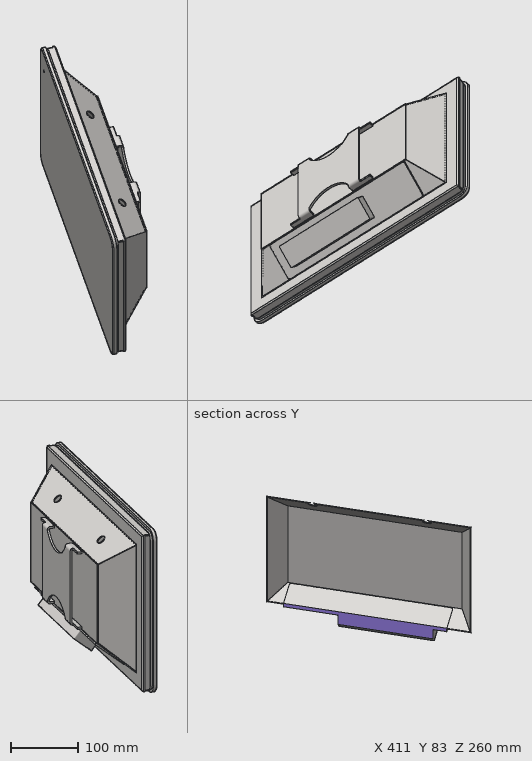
import cadquery as cq
import math

width = 411.0
height = 260.0
depth = 83.0

bezel_depth = 6.5
bezel_corner = 15.5
bezel_chamfer = 1.5
pane_inset = 3.0
pane_recess = 0.2
lip_inset = 4.0
lip_back = 10.0

tray_inset = 5.5
tray_back = 22.5
tray_chamfer = 2.0
side_step = 0.5
side_step_back = 17.5
relief_width = 2.0
relief_height = 1.5

housing_inset = 27.5
cover_inset = 66.5
taper_back = 70.0
cover_thickness = 1.2
housing_wall = 1.5
cover_back = taper_back + cover_thickness
taper_run = taper_back - tray_back
taper_rise = cover_inset - housing_inset
slope_length = math.hypot(taper_run, taper_rise)

wall_hole_diameter = 13.5
wall_hole_x = 90.5
wall_hole_y = 46.5

pinhole_diameter = 3.3
pinhole_depth = 1.5
pinhole_from_side = 19.7
pinhole_from_top = 40.5

gland_left = -135.5
gland_right = 123.5
gland_margin = 1.0
gland_thickness = 3.3
gland_corner = 3.3
block_left = -49.5
block_right = 102.5
block_length = 37.0
block_height = 17.3
block_corner = 1.5

handle_height = 123.5
handle_width = 116.0
handle_thickness = 3.3
handle_bend = 5.0
foot_width = 153.0
window_width = 75.0
window_arc_depth = 20.5


def upright_block(size_x, size_z, y_start, y_end):
    """Box centred on the Y axis, spanning y_start to y_end."""
    length = y_end - y_start
    return cq.Workplane("XY").box(size_x, length, size_z).translate((0, y_start + length / 2, 0))


def make_bezel():
    bezel = upright_block(width, height, 0, bezel_depth).edges("|Y").fillet(bezel_corner)
    bezel = bezel.faces("<Y").edges().chamfer(bezel_chamfer)
    pane = upright_block(width - 2 * pane_inset, height - 2 * pane_inset, 0, pane_recess)
    return bezel.cut(pane.edges("|Y").fillet(bezel_corner - pane_inset))


def make_lip():
    lip = upright_block(width - 2 * lip_inset, height - 2 * lip_inset, bezel_depth, lip_back)
    return lip.edges("|Y").fillet(bezel_corner - lip_inset)


def make_tray():
    tray_width = width - 2 * tray_inset
    tray_height = height - 2 * tray_inset
    tray = upright_block(tray_width, tray_height, lip_back, tray_back)
    tray = tray.faces(">Y").edges().chamfer(tray_chamfer)
    step_height = tray_height - 2 * relief_height
    for side in (-1, 1):
        step = upright_block(2 * side_step, step_height, lip_back, side_step_back)
        tray = tray.cut(step.translate((side * tray_width / 2, 0, 0)))
        for end in (-1, 1):
            relief = upright_block(2 * relief_width, 2 * relief_height, lip_back, side_step_back)
            tray = tray.cut(relief.translate((side * tray_width / 2, 0, end * tray_height / 2)))
    return tray


def make_housing():
    cover_width = width - 2 * cover_inset
    cover_height = height - 2 * cover_inset
    taper = (
        cq.Workplane("XZ", origin=(0, tray_back, 0))
        .rect(width - 2 * housing_inset, height - 2 * housing_inset)
        .workplane(offset=-taper_run)
        .rect(cover_width, cover_height)
        .loft(ruled=True)
    )
    housing = taper.faces("<Y").shell(-housing_wall)
    return housing.union(upright_block(cover_width, cover_height, taper_back, cover_back))


def make_wall_holes():
    """Cutters normal to the upper sloped wall."""
    hole_z = height / 2 - housing_inset - (wall_hole_y - tray_back) * taper_rise / taper_run
    normal = cq.Vector(0, taper_rise, taper_run)
    cutters = cq.Workplane("XY")
    for x in (-wall_hole_x, wall_hole_x):
        plane = cq.Plane(origin=(x, wall_hole_y, hole_z), xDir=(1, 0, 0), normal=normal)
        hole = cq.Workplane(plane).circle(wall_hole_diameter / 2)
        cutters = cutters.add(hole.extrude(2 * housing_wall, both=True))
    return cutters.combine()


def make_connector():
    """Gland plate with a connector block, on the lower sloped wall."""
    middle_y = (tray_back + taper_back) / 2
    middle_z = -(height - housing_inset - cover_inset) / 2
    wall = cq.Workplane(
        cq.Plane(origin=(0, middle_y, middle_z), xDir=(1, 0, 0), normal=(0, taper_rise, -taper_run))
    )
    plate = (
        wall.center((gland_left + gland_right) / 2, 0)
        .rect(gland_right - gland_left, slope_length - 2 * gland_margin)
        .extrude(gland_thickness)
    )
    block = (
        wall.center((block_left + block_right) / 2, 0)
        .rect(block_right - block_left, block_length)
        .extrude(gland_thickness + block_height)
    )
    along_normal = cq.selectors.ParallelDirSelector(cq.Vector(0, taper_rise, -taper_run))
    plate = plate.edges(along_normal).fillet(gland_corner)
    return plate.union(block.edges(along_normal).fillet(block_corner))


def make_handle():
    inner_height = handle_height - 2 * handle_thickness
    bend_start = depth - handle_bend
    strap = upright_block(foot_width, handle_height, cover_back, depth)
    strap = strap.faces(">Y").edges("|X").fillet(handle_bend)
    hollow = upright_block(foot_width, inner_height, cover_back, depth - handle_thickness)
    strap = strap.cut(hollow.faces(">Y").edges("|X").fillet(handle_bend - handle_thickness))
    outline = upright_block(foot_width, handle_height, cover_back, bend_start)
    outline = outline.union(upright_block(handle_width, handle_height, bend_start, depth))
    strap = strap.intersect(outline)
    notch_edge = handle_height / 2
    arc_start = notch_edge - handle_bend
    half_window = window_width / 2
    notch = (
        cq.Workplane("XZ", origin=(0, cover_back, 0))
        .moveTo(-half_window, notch_edge)
        .lineTo(-half_window, arc_start)
        .threePointArc((0, arc_start - window_arc_depth), (half_window, arc_start))
        .lineTo(half_window, notch_edge)
        .close()
        .extrude(-(depth - cover_back))
    )
    return strap.cut(notch).cut(notch.mirror("XY"))


def make_pinhole():
    return (
        cq.Workplane("XZ")
        .center(pinhole_from_side - width / 2, height / 2 - pinhole_from_top)
        .circle(pinhole_diameter / 2)
        .extrude(-(pane_recess + pinhole_depth))
    )


body = make_bezel().union(make_lip()).union(make_tray())
body = body.union(make_housing().cut(make_wall_holes()))
body = body.union(make_connector()).union(make_handle()).cut(make_pinhole())
result = body.translate((0, -depth / 2, 0))